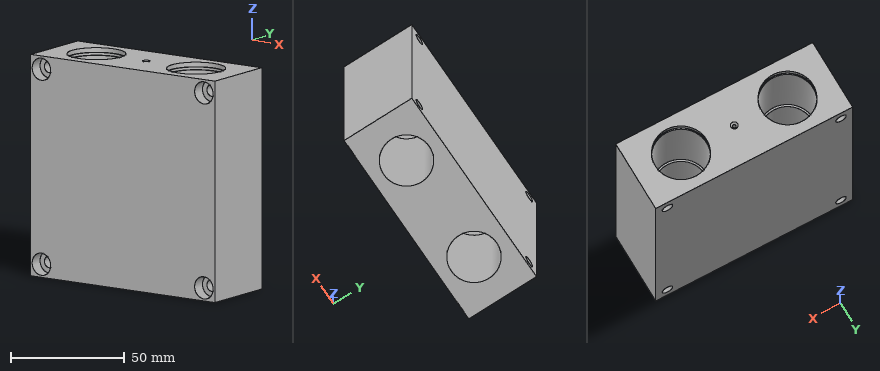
import cadquery as cq
width = 100.0
depth = 36.0
height = 100.0
top_z = height / 2

bore_spacing = 54.0
bore_diameter = 26.0
opening_diameter = 24.0
bore_depth = 36.0
groove_diameter = 27.2
groove_offset = 2.2
groove_width = 1.3

screw_inset = 6.0
screw_diameter = 5.2
head_diameter = 10.0
head_depth = 6.0

pilot_diameter = 1.6
pilot_depth = 10.0
countersink_diameter = 3.4
countersink_angle = 90.0


def make_block():
    return cq.Workplane("XY").box(width, depth, height)


def disc(diameter, z_bottom, thickness):
    return cq.Workplane("XY", origin=(0, 0, z_bottom)).circle(diameter / 2).extrude(thickness)


def cut_bores(body):
    opening = disc(opening_diameter, -top_z, height)
    main_bore = disc(bore_diameter, top_z - bore_depth, bore_depth)
    groove = disc(groove_diameter, top_z - groove_offset - groove_width, groove_width)
    cutter = opening.union(main_bore).union(groove)
    for side in (-1, 1):
        body = body.cut(cutter.translate((side * bore_spacing / 2, 0, 0)))
    return body


def cut_screw_holes(body):
    spacing_x = width - 2 * screw_inset
    spacing_z = height - 2 * screw_inset
    return (
        body.faces("<Y").workplane(origin=(0, 0, 0))
        .rarray(spacing_x, spacing_z, 2, 2)
        .cboreHole(screw_diameter, head_diameter, head_depth)
    )


def cut_centre_hole(body):
    return (
        body.faces(">Z").workplane(origin=(0, 0, 0))
        .cskHole(pilot_diameter, countersink_diameter, countersink_angle, depth=pilot_depth)
    )


result = cut_centre_hole(cut_screw_holes(cut_bores(make_block())))